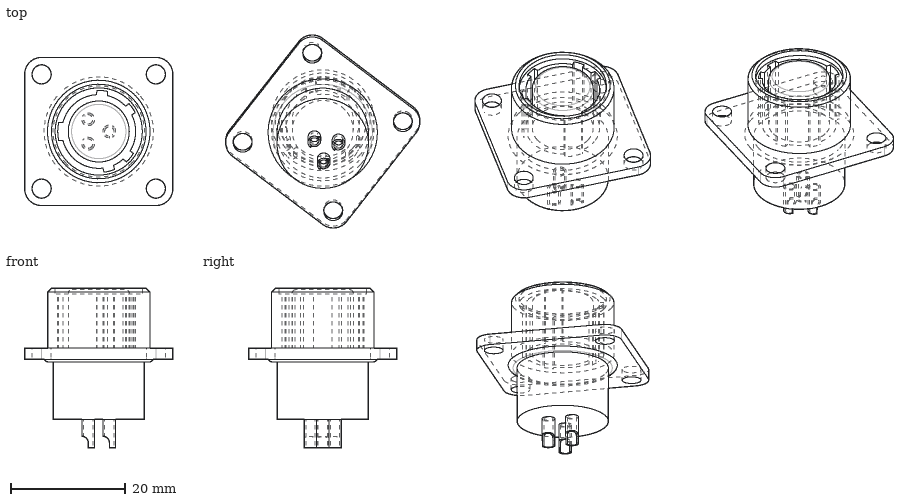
import cadquery as cq
import math

pin_length = 5.0
rear_height = 10.0
collar_height = 0.5
flange_thickness = 2.0
shell_height = 10.5

rear_z = pin_length
collar_z = rear_z + rear_height
flange_z = collar_z + collar_height
shell_z = flange_z + flange_thickness
top_z = shell_z + shell_height

flange_side = 26.0
corner_radius = 3.0
mount_hole_diameter = 3.3
mount_hole_pitch = flange_side - 2 * corner_radius

rear_radius = 8.0
collar_radius = 9.58
collar_round = 1.0
shell_radius = 9.0
shell_chamfer = 0.7

mouth_radius = 7.65
mouth_depth = 1.0
socket_radius = 6.47
insert_radius = 5.35
insert_round = 0.6
insert_recess = 0.28

keyway_radius = 7.2
wide_keyway_width = 3.2
narrow_keyway_width = 1.9
wide_keyway_angle = 180
narrow_keyway_angles = (85, 35, -40, -75)

pin_radius = 1.12
cup_radius = 0.8
pin_row_x = 1.85
pin_side_y = 2.13
pin_centers = [(-pin_row_x, -pin_side_y), (-pin_row_x, pin_side_y), (pin_row_x, 0)]
notch_height = 2.02


def disc(radius, bottom, height):
    """Solid cylinder on the Z axis."""
    return cq.Workplane("XY", origin=(0, 0, bottom)).circle(radius).extrude(height)


def make_flange():
    return (
        cq.Workplane("XY", origin=(0, 0, flange_z))
        .rect(flange_side, flange_side)
        .extrude(flange_thickness)
        .edges("|Z")
        .fillet(corner_radius)
        .faces(">Z")
        .workplane()
        .rect(mount_hole_pitch, mount_hole_pitch, forConstruction=True)
        .vertices()
        .hole(mount_hole_diameter)
    )


def make_collar():
    """Shallow collar whose edge rolls from the flange into the flat underside."""
    round_center_z = collar_z + collar_round
    edge_drop = round_center_z - flange_z
    round_center_r = collar_radius - math.sqrt(collar_round**2 - edge_drop**2)
    mid_angle = (math.asin(edge_drop / collar_round) + math.pi / 2) / 2
    arc_mid = (
        round_center_r + collar_round * math.cos(mid_angle),
        round_center_z - collar_round * math.sin(mid_angle),
    )
    return (
        cq.Workplane("XZ")
        .moveTo(0, collar_z)
        .lineTo(round_center_r, collar_z)
        .threePointArc(arc_mid, (collar_radius, flange_z))
        .lineTo(0, flange_z)
        .close()
        .revolve(360, (0, 0, 0), (0, 1, 0))
    )


def make_keyway(width, angle):
    """Straight-sided groove reaching from the axis to the keyway radius."""
    slot = (
        cq.Workplane("XY", origin=(0, 0, shell_z))
        .rect(mouth_radius, width)
        .extrude(shell_height)
        .translate((mouth_radius / 2, 0, 0))
        .rotate((0, 0, 0), (0, 0, 1), angle)
    )
    return slot.intersect(disc(keyway_radius, shell_z, shell_height))


def make_socket():
    """Empty space inside the shell, down to the flange face."""
    socket = disc(socket_radius, shell_z, shell_height)
    socket = socket.union(disc(mouth_radius, top_z - mouth_depth, mouth_depth))
    socket = socket.union(make_keyway(wide_keyway_width, wide_keyway_angle))
    for angle in narrow_keyway_angles:
        socket = socket.union(make_keyway(narrow_keyway_width, angle))
    insert = disc(insert_radius, shell_z, shell_height - insert_recess)
    return socket.cut(insert.faces(">Z").edges().fillet(insert_round))


def make_pin(x, y):
    """Hollow pin with its tip cut away on the -X side up to a rounded notch."""
    pin = cq.Workplane("XY").circle(pin_radius).circle(cup_radius).extrude(pin_length)
    arc_mid = pin_radius * math.sqrt(0.5)
    straight_height = notch_height - pin_radius
    notch = (
        cq.Workplane("XZ")
        .moveTo(0, 0)
        .lineTo(0, straight_height)
        .threePointArc((arc_mid - pin_radius, straight_height + arc_mid), (-pin_radius, notch_height))
        .lineTo(-pin_radius, 0)
        .close()
        .extrude(pin_radius, both=True)
    )
    return pin.cut(notch).translate((x, y, 0))


rear = disc(rear_radius, rear_z, rear_height)
shell = disc(shell_radius, shell_z, shell_height).faces(">Z").edges().chamfer(shell_chamfer)

result = make_flange().union(rear).union(make_collar()).union(shell).cut(make_socket())
for pin_x, pin_y in pin_centers:
    result = result.union(make_pin(pin_x, pin_y))